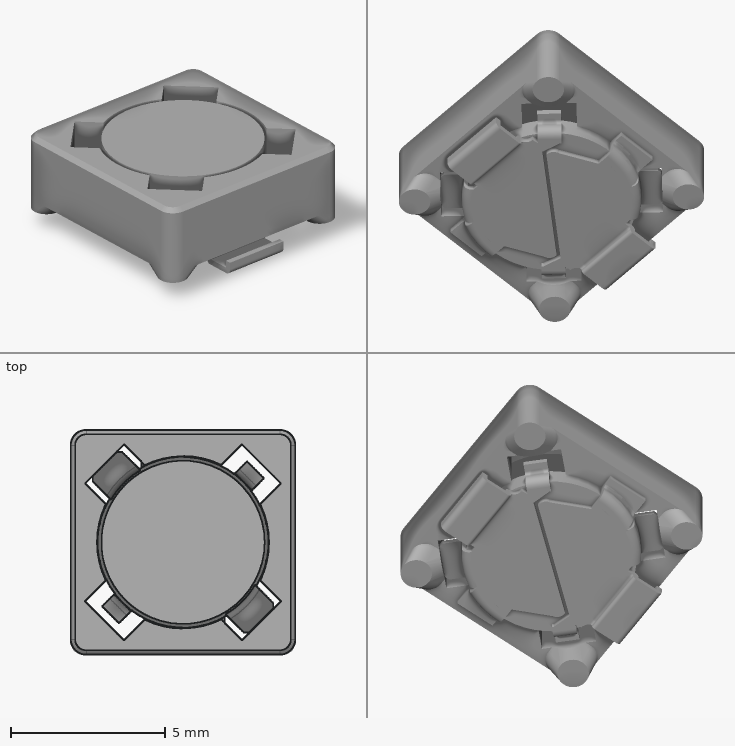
import cadquery as cq
import math

SIDE = 7.29
TOTAL_HEIGHT = 3.19
TERMINAL_ANGLES = (0, 180)
WIDE_ARM_ANGLE = 135
SIDE_ARM_ANGLE = 90
NARROW_ARM_ANGLE = 225

HOUSING_BOTTOM = 0.495
CORNER_RADIUS = 0.5
TOP_CHAMFER = 0.145
BORE_RADIUS = 2.79
WINDOW_WIDTH = 1.78
WINDOW_REACH = 3.595
ARCH_TOP = 0.89
ARCH_SLOPE_RUN = 0.48
LEG_FLAT = 0.01

CORE_BOTTOM = 0.395
CORE_RADIUS = 2.77
TOP_FLANGE_RADIUS = 2.645
FLANGE_THICKNESS = 0.7
NECK_RADIUS = 1.46
RECESS_RADIUS = 2.71

SHEET = 0.2
PLATE_BOTTOM = CORE_BOTTOM - SHEET
LOWER_BEND = 0.3
UPPER_INNER_BEND = 0.1
ARM_START = 2.48
TAB_TOP = 0.88
WIDE_TAB_TOP = 1.24
TAB_REACH = 3.325
WIDE_TAB_REACH = 3.59
NARROW_ARM_WIDTH = 0.77
WIDE_ARM_WIDTH = 1.35
WIDE_TAB_CHAMFER = 0.12
SIDE_ARM_MIN_X = -1.355
SIDE_ARM_MAX_X = 0.045

PLATE_REACH = 2.515
SIDE_ARM_ROOT_Y = 2.26
NOSE_START = (1.27, 1.68)
NOSE_MIDDLE = (1.47, 1.545)
NOSE_END = (1.515, 1.35)
DIVIDE_CORNER = (-1.7, -1.35)

LEAD_END = 3.615
LEAD_MIN_Y = -1.19
LEAD_MAX_Y = 1.1
LIP_TOP = 0.45
LEAD_STEP = 2.68
LEAD_BEND = 0.12
LIP_BEND = SHEET
FLARE_RADIUS = 0.285
LEAD_ROOT = 2.26


def rounded_square(side, radius, center, z):
    """Sketch of a horizontal square with rounded corners."""
    return (
        cq.Sketch().rect(side, side).vertices().fillet(radius)
        .moved(cq.Location(cq.Vector(center, center, z)))
    )


def make_leg():
    """Leg at the +X +Y corner, growing from a round foot to a rounded square."""
    foot_side = 2 * CORNER_RADIUS + LEG_FLAT
    root_side = foot_side + ARCH_SLOPE_RUN
    foot = rounded_square(foot_side, CORNER_RADIUS, (SIDE - foot_side) / 2, HOUSING_BOTTOM)
    root = rounded_square(root_side, CORNER_RADIUS, (SIDE - root_side) / 2, ARCH_TOP)
    return cq.Workplane("XY").placeSketch(foot, root).loft()


def make_housing():
    shell = (
        cq.Workplane("XY", origin=(0, 0, ARCH_TOP))
        .rect(SIDE, SIDE)
        .extrude(TOTAL_HEIGHT - ARCH_TOP)
        .edges("|Z").fillet(CORNER_RADIUS)
        .faces(">Z").chamfer(TOP_CHAMFER)
    )
    leg = make_leg()
    for angle in (0, 90, 180, 270):
        shell = shell.union(leg.rotate((0, 0, 0), (0, 0, 1), angle))

    bore = cq.Workplane("XY").circle(BORE_RADIUS).extrude(TOTAL_HEIGHT)
    shell = shell.cut(bore)
    for angle in (45, 135):
        windows = (
            cq.Workplane("XY")
            .rect(2 * WINDOW_REACH, WINDOW_WIDTH)
            .extrude(TOTAL_HEIGHT)
            .rotate((0, 0, 0), (0, 0, 1), angle)
        )
        shell = shell.cut(windows)
    return shell


def make_core():
    neck_height = TOTAL_HEIGHT - CORE_BOTTOM - 2 * FLANGE_THICKNESS
    drum = (
        cq.Workplane("XY", origin=(0, 0, CORE_BOTTOM))
        .circle(CORE_RADIUS).extrude(FLANGE_THICKNESS)
        .faces(">Z").workplane()
        .circle(NECK_RADIUS).extrude(neck_height)
        .faces(">Z").workplane()
        .circle(TOP_FLANGE_RADIUS).extrude(FLANGE_THICKNESS)
    )
    recesses = (
        cq.Workplane("XY", origin=(0, 0, CORE_BOTTOM))
        .rect(SIDE, WIDE_ARM_WIDTH).extrude(FLANGE_THICKNESS)
        .cut(cq.Workplane("XY").circle(RECESS_RADIUS).extrude(TOTAL_HEIGHT))
        .rotate((0, 0, 0), (0, 0, 1), WIDE_ARM_ANGLE)
    )
    return drum.cut(recesses)


def circle_point(center, radius, degrees):
    """Point on a circle at an angle from its first axis."""
    angle = math.radians(degrees)
    return (center[0] + radius * math.cos(angle), center[1] + radius * math.sin(angle))


def arm_profile(inner, tab_top, reach):
    """Side outline of an arm: under the core, up its rim at the inner radius, then outward as a tab."""
    outer = inner + SHEET
    tab_bottom = tab_top - SHEET
    lower_center = (outer - LOWER_BEND, PLATE_BOTTOM + LOWER_BEND)
    under_tab_center = (outer + UPPER_INNER_BEND, tab_bottom - UPPER_INNER_BEND)
    over_tab_center = (inner + SHEET, tab_top - SHEET)
    return (
        cq.Workplane("XZ")
        .moveTo(ARM_START, PLATE_BOTTOM)
        .lineTo(lower_center[0], PLATE_BOTTOM)
        .threePointArc(circle_point(lower_center, LOWER_BEND, -45), (outer, lower_center[1]))
        .lineTo(outer, under_tab_center[1])
        .threePointArc(
            circle_point(under_tab_center, UPPER_INNER_BEND, 135), (under_tab_center[0], tab_bottom)
        )
        .lineTo(reach, tab_bottom)
        .lineTo(reach, tab_top)
        .lineTo(over_tab_center[0], tab_top)
        .threePointArc(circle_point(over_tab_center, SHEET, 135), (inner, over_tab_center[1]))
        .lineTo(inner, CORE_BOTTOM)
        .lineTo(ARM_START, CORE_BOTTOM)
        .close()
    )


def curved_arm(inner, tab_top, strip):
    """Arm along +X that follows the round rim of the core, as wide and long as the strip."""
    ring = arm_profile(inner, tab_top, SIDE / 2).revolve(360, (0, 0, 0), (0, 1, 0))
    return ring.intersect(strip)


def make_wide_arm():
    strip = (
        cq.Workplane("XY")
        .rect(2 * WIDE_TAB_REACH, WIDE_ARM_WIDTH)
        .extrude(TOTAL_HEIGHT)
        .edges("|Z").chamfer(WIDE_TAB_CHAMFER)
    )
    outward_half = cq.Workplane("XY").rect(SIDE, SIDE).extrude(TOTAL_HEIGHT).translate((SIDE / 2, 0, 0))
    return curved_arm(RECESS_RADIUS, WIDE_TAB_TOP, strip.intersect(outward_half))


def make_side_arm():
    strip = (
        cq.Workplane("XY", origin=(0, -SIDE_ARM_MAX_X, 0))
        .rect(TAB_REACH, SIDE_ARM_MAX_X - SIDE_ARM_MIN_X, centered=False)
        .extrude(TOTAL_HEIGHT)
    )
    return curved_arm(CORE_RADIUS, TAB_TOP, strip)


def make_narrow_arm():
    """Arm along +X with a flat wall."""
    return arm_profile(CORE_RADIUS, TAB_TOP, TAB_REACH).extrude(NARROW_ARM_WIDTH / 2, both=True)


def make_lead():
    """Lead with an upturned lip, stepping up to the plate and flaring on one side."""
    inner_step = LEAD_STEP - SHEET
    step_bend_mid = circle_point((-LEAD_STEP + LEAD_BEND, CORE_BOTTOM - LEAD_BEND), LEAD_BEND, 135)
    heel_mid = circle_point((-inner_step - LEAD_BEND, LEAD_BEND), LEAD_BEND, -45)
    arch_radius = PLATE_BOTTOM - LEAD_BEND
    arch_mid = circle_point((-inner_step + arch_radius, LEAD_BEND), arch_radius, 135)
    lip_mid = circle_point((-LEAD_END + LIP_BEND, LIP_BEND), LIP_BEND, -135)
    strip = (
        cq.Workplane("XZ")
        .moveTo(-LEAD_END, LIP_TOP)
        .lineTo(-LEAD_END + SHEET, LIP_TOP)
        .lineTo(-LEAD_END + SHEET, SHEET)
        .lineTo(-LEAD_STEP, SHEET)
        .lineTo(-LEAD_STEP, CORE_BOTTOM - LEAD_BEND)
        .threePointArc(step_bend_mid, (-LEAD_STEP + LEAD_BEND, CORE_BOTTOM))
        .lineTo(-LEAD_ROOT, CORE_BOTTOM)
        .lineTo(-LEAD_ROOT, PLATE_BOTTOM)
        .lineTo(-inner_step + arch_radius, PLATE_BOTTOM)
        .threePointArc(arch_mid, (-inner_step, LEAD_BEND))
        .threePointArc(heel_mid, (-inner_step - LEAD_BEND, 0))
        .lineTo(-LEAD_END + LIP_BEND, 0)
        .threePointArc(lip_mid, (-LEAD_END, LIP_BEND))
        .close()
        .extrude(SIDE / 4, both=True)
    )
    flare_start = -LEAD_ROOT - FLARE_RADIUS
    flare_center = (flare_start, LEAD_MIN_Y - FLARE_RADIUS)
    outline = (
        cq.Workplane("XY")
        .moveTo(-LEAD_END, LEAD_MIN_Y)
        .lineTo(flare_start, LEAD_MIN_Y)
        .threePointArc(circle_point(flare_center, FLARE_RADIUS, 45), (-LEAD_ROOT, flare_center[1]))
        .lineTo(-LEAD_ROOT, LEAD_MAX_Y)
        .lineTo(-LEAD_END, LEAD_MAX_Y)
        .close()
        .extrude(TOTAL_HEIGHT)
    )
    return strip.intersect(outline)


def polar_strip_point(along, across, degrees):
    """Point at a distance along a direction from the axis and a distance to its left."""
    angle = math.radians(degrees)
    x = along * math.cos(angle) - across * math.sin(angle)
    y = along * math.sin(angle) + across * math.cos(angle)
    return (x, y)


def make_plate():
    """Flat plate under the core that joins the lead and the three arms of one terminal."""
    narrow_half = NARROW_ARM_WIDTH / 2
    wide_half = WIDE_ARM_WIDTH / 2
    corners = [
        DIVIDE_CORNER,
        polar_strip_point(PLATE_REACH, narrow_half, NARROW_ARM_ANGLE),
        polar_strip_point(PLATE_REACH, -narrow_half, NARROW_ARM_ANGLE),
        (-LEAD_ROOT, LEAD_MIN_Y - FLARE_RADIUS),
        (-LEAD_ROOT, LEAD_MAX_Y),
        polar_strip_point(PLATE_REACH, wide_half, WIDE_ARM_ANGLE),
        polar_strip_point(PLATE_REACH, -wide_half, WIDE_ARM_ANGLE),
        (SIDE_ARM_MIN_X, SIDE_ARM_ROOT_Y),
        (SIDE_ARM_MAX_X, PLATE_REACH),
        (SIDE_ARM_MAX_X, SIDE_ARM_ROOT_Y),
    ]
    return (
        cq.Workplane("XY", origin=(0, 0, PLATE_BOTTOM))
        .polyline(corners)
        .lineTo(*NOSE_START)
        .threePointArc(NOSE_MIDDLE, NOSE_END)
        .close()
        .extrude(SHEET)
    )


def make_terminal():
    """Terminal whose lead points to -X."""
    terminal = make_plate().union(make_lead())
    arms = (
        (make_wide_arm(), WIDE_ARM_ANGLE),
        (make_side_arm(), SIDE_ARM_ANGLE),
        (make_narrow_arm(), NARROW_ARM_ANGLE),
    )
    for arm, angle in arms:
        terminal = terminal.union(arm.rotate((0, 0, 0), (0, 0, 1), angle))
    return terminal


housing = make_housing().solids()
core = make_core().solids()
terminal = make_terminal().solids()
terminals = [terminal.rotate((0, 0, 0), (0, 0, 1), angle).solids().val() for angle in TERMINAL_ANGLES]

result = cq.Compound.makeCompound([housing.val(), core.val(), *terminals])